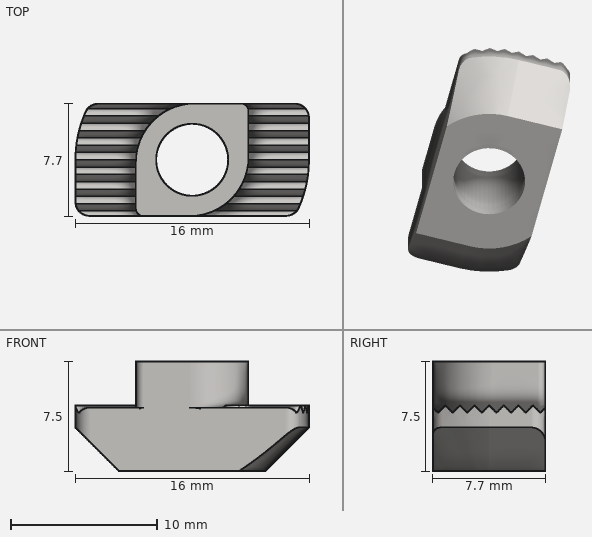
import cadquery as cq
import math

length = 16.0
width = 7.7
total_height = 7.5
half_length = length / 2
half_width = width / 2

body_height = 4.5
flank_height = 3.0
body_corner_radius = 1.0
bottom_half_length = half_length - flank_height

collar_large_radius = 4.0
collar_small_radius = 0.5
bore_diameter = 4.91

groove_count = 8
serration_span = 8.0
tooth_pitch = serration_span / groove_count
tooth_depth = tooth_pitch / 2


def body_plan():
    """Prism with two square ends, each turning into an arc about the origin past the centre line."""
    arc_corner_x = math.sqrt(half_length**2 - half_width**2)
    arc_middle_angle = math.asin(half_width / half_length) / 2
    arc_middle_x = half_length * math.cos(arc_middle_angle)
    arc_middle_y = half_length * math.sin(arc_middle_angle)
    return (
        cq.Workplane("XY")
        .moveTo(-half_length, -half_width)
        .lineTo(arc_corner_x, -half_width)
        .threePointArc((arc_middle_x, -arc_middle_y), (half_length, 0))
        .lineTo(half_length, half_width)
        .lineTo(-arc_corner_x, half_width)
        .threePointArc((-arc_middle_x, arc_middle_y), (-half_length, 0))
        .close()
        .extrude(body_height)
        .faces("<Y or >Y")
        .edges("|Z")
        .fillet(body_corner_radius)
    )


def flank_profile():
    """Half of the side outline, from the Z axis out to the end of the body."""
    return (
        cq.Workplane("XZ")
        .lineTo(bottom_half_length, 0)
        .lineTo(half_length, flank_height)
        .lineTo(half_length, body_height)
        .lineTo(0, body_height)
        .close()
    )


def flank_envelope():
    """Conical flanks over the arcs, blending into flat flanks behind the straight ends."""
    cone = flank_profile().revolve(360, (0, 0, 0), (0, 1, 0))
    flat_flank = flank_profile().extrude(-width)
    opposite_flank = flat_flank.rotate((0, 0, 0), (0, 0, 1), 180)
    return cone.union(flat_flank).union(opposite_flank)


def serration_grooves():
    """V grooves running the whole length of the top face."""
    grooves = cq.Workplane("XY")
    for index in range(groove_count):
        valley_y = (index - (groove_count - 1) / 2) * tooth_pitch
        groove = (
            cq.Workplane("YZ", origin=(-half_length, 0, 0))
            .moveTo(valley_y - tooth_pitch / 2, body_height)
            .lineTo(valley_y, body_height - tooth_depth)
            .lineTo(valley_y + tooth_pitch / 2, body_height)
            .close()
            .extrude(length)
        )
        grooves = grooves.add(groove)
    return grooves.combine()


def collar():
    """Square collar with two large and two small rounded corners on opposite diagonals."""
    collar_height = total_height - flank_height
    return (
        cq.Workplane("XY", origin=(0, 0, flank_height))
        .rect(width, width)
        .extrude(collar_height)
        .edges("<(1, -1, 0) or >(1, -1, 0)")
        .fillet(collar_large_radius)
        .edges("<(1, 1, 0) or >(1, 1, 0)")
        .fillet(collar_small_radius)
    )


body = body_plan().intersect(flank_envelope()).cut(serration_grooves())
bore = cq.Workplane("XY").circle(bore_diameter / 2).extrude(total_height)
result = body.union(collar()).cut(bore)